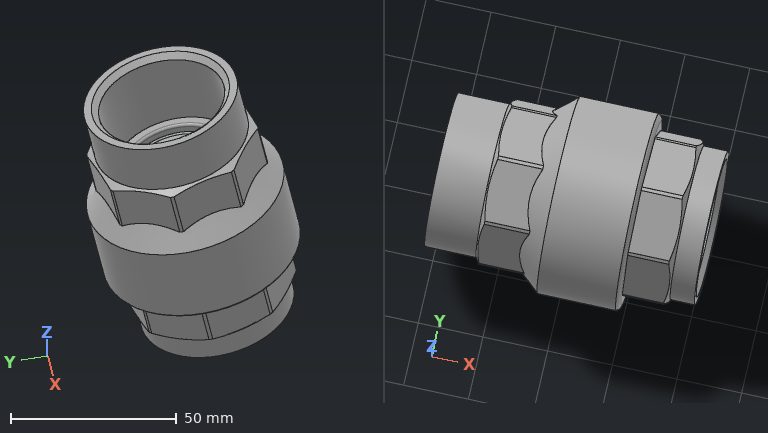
import cadquery as cq
import math

length = 83.5

neck_radius = 23.8
body_diameter = 61.0
body_radius = body_diameter / 2
body_start = 36.3
body_end = 61.8
body_edge_length = 1.2
body_edge_round = 2.3
taper_angle = 40.0

grip_sides = 8
across_flats = 49.2
grip_corner_radius = 26.4
inlet_grip_start = 15.95
outlet_grip_end = 76.0
grip_chamfer_angle = 60.0

socket_radius = 19.45
socket_mouth_radius = 21.3
mouth_chamfer = socket_mouth_radius - socket_radius
socket_depth = 24.8

port_radius = 16.0
port_edge_round = 0.8
poppet_face = 27.55
poppet_cone_radius = 14.95
poppet_tip_radius = 3.0
poppet_cone_length = 6.7
poppet_tip_height = 1.25


def revolve_about_x(outline):
    """Turn a closed half outline of (x, radius) around the X axis."""
    return outline.close().revolve(360, (0, 0, 0), (1, 0, 0))


def turned(points):
    return revolve_about_x(cq.Workplane("XY").polyline(points))


def make_grips():
    """Octagonal bar limited by a turned blank with coned ends."""
    grip_length = outlet_grip_end - inlet_grip_start
    corner_diameter = across_flats / math.cos(math.pi / grip_sides)
    bar = (
        cq.Workplane("YZ", origin=(inlet_grip_start, 0, 0))
        .polygon(grip_sides, corner_diameter)
        .extrude(grip_length)
    )
    cone_length = (grip_corner_radius - neck_radius) / math.tan(math.radians(grip_chamfer_angle))
    blank = turned([
        (inlet_grip_start, 0),
        (inlet_grip_start, neck_radius),
        (inlet_grip_start + cone_length, grip_corner_radius),
        (outlet_grip_end - cone_length, grip_corner_radius),
        (outlet_grip_end, neck_radius),
        (outlet_grip_end, 0),
    ])
    return bar.intersect(blank)


def make_body():
    """Thick middle barrel with a long inlet taper and a rounded outlet edge."""
    taper_length = (body_radius - neck_radius) / math.tan(math.radians(taper_angle))
    edge_drop = math.sqrt(body_edge_round**2 - (body_edge_round - body_edge_length) ** 2)
    outline = (
        cq.Workplane("XY")
        .moveTo(body_start - taper_length, 0)
        .lineTo(body_start - taper_length, neck_radius)
        .lineTo(body_start, body_radius)
        .lineTo(body_end - body_edge_length, body_radius)
        .radiusArc((body_end, body_radius - edge_drop), body_edge_round)
        .lineTo(body_end, 0)
    )
    return revolve_about_x(outline)


def make_inlet_cavity():
    """Inlet socket and port; the poppet's cone and rounded tip stay as material."""
    cone_tip = poppet_face - poppet_cone_length
    tip_end = cone_tip - poppet_tip_height
    tip_sphere_radius = (poppet_tip_radius**2 + poppet_tip_height**2) / (2 * poppet_tip_height)
    half_angle = math.asin(poppet_tip_radius / tip_sphere_radius) / 2
    tip_mid = (
        tip_end + tip_sphere_radius * (1 - math.cos(half_angle)),
        tip_sphere_radius * math.sin(half_angle),
    )
    outline = (
        cq.Workplane("XY")
        .moveTo(0, 0)
        .lineTo(0, socket_mouth_radius)
        .lineTo(mouth_chamfer, socket_radius)
        .lineTo(socket_depth, socket_radius)
        .lineTo(socket_depth, port_radius + port_edge_round)
        .radiusArc((socket_depth + port_edge_round, port_radius), -port_edge_round)
        .lineTo(poppet_face, port_radius)
        .lineTo(poppet_face, poppet_cone_radius)
        .lineTo(cone_tip, poppet_tip_radius)
        .threePointArc(tip_mid, (tip_end, 0))
    )
    return revolve_about_x(outline)


def make_outlet_cavity():
    """Plain outlet socket with the same mouth chamfer as the inlet."""
    return turned([
        (length, 0),
        (length, socket_mouth_radius),
        (length - mouth_chamfer, socket_radius),
        (length - socket_depth, socket_radius),
        (length - socket_depth, 0),
    ])


necks = cq.Workplane("YZ").circle(neck_radius).extrude(length)
outside = necks.union(make_grips()).union(make_body())
result = outside.cut(make_inlet_cavity()).cut(make_outlet_cavity())